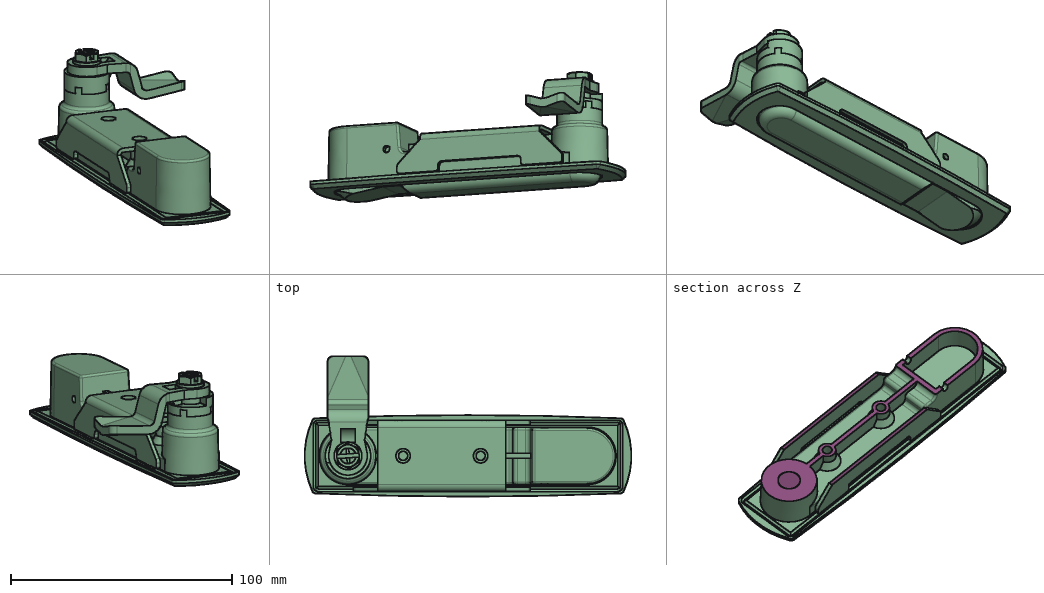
import cadquery as cq
import math


PLATE_LENGTH = 147.7
PLATE_WIDTH = 37.0
PLATE_THICKNESS = 3.2
PLATE_CORNER_X = 69.9
PLATE_CORNER_Y = 17.0
PLATE_CORNER_RADIUS = 1.9
PLATE_CHAMFER = 1.8
GROOVE_LENGTH = 140.0
GROOVE_WIDTH = 32.4
GROOVE_DEPTH = 0.9
GROOVE_FLANK = 1.2
GROOVE_CORNER_RADIUS = 2.7

AXIS_X = -54.2
BOWL_ARC_X = 53.9
PAN_RADIUS = 13.0
PAN_DRAFT = 1.0
TUB_TOP = 6.4
LEDGE_TOP = 11.5
LEDGE_X = 20.2
LEDGE_FILLET = 1.9
BOWL_FOOT_X = 27.9
BOWL_HEAD_X = 29.1
BOWL_TOP = 25.3
BOWL_FOOT_FILLET = 2.4
PAN_EDGE_FILLET = 1.0
BOWL_WALL = 1.8
PIN_HOLE_DIAMETER = 3.1
PIN_HOLE_X = 34.5
PIN_HOLE_Z = 13.1

RECESS_WIDTH = 20.5
RECESS_TOP = 4.1

RIB_THICKNESS = 2.4
RIB_TOP = 16.8
BOSS_DIAMETER = 8.0
BOSS_HOLE_DIAMETER = 4.1
BOSS_FOOT_DIAMETER = 12.3
BOSS_FOOT_HEIGHT = 3.5

BARREL_BASE_RADIUS = 13.0
BARREL_RADIUS = 12.5
BARREL_STRAIGHT_TOP = 17.7
NECK_DIAMETER = 20.5
NECK_FOOT_Z = 20.8
NECK_TOP = 26.7
TAB_WIDTH = 3.0
TAB_TOP = 29.7
TAB_DEPTH = 2.0
TAB_BAR_ANGLES = (45, 135)

SHAFT_DIAMETER = 9.7
CAM_BOTTOM = 34.7
CAM_THICKNESS = 4.3
WINDOW_FLOOR = 31.0
WINDOW_MAX_X = 3.4
WINDOW_MIN_Y = -3.1
WASHER_DIAMETER = 12.5
WASHER_THICKNESS = 1.3
SCREW_DIAMETER = 6.0
SCREW_TIP = 23.6
HEX_FLATS = 10.0
HEX_HEIGHT = 3.5
HEX_TOP_DIAMETER = 10.0
HEX_BEVEL_ANGLE = 30
HEX_TURN = 4
SLOT_WIDTH = 1.8
SLOT_DEPTH = 2.4
CROSS_WIDTH = 1.2
CROSS_LENGTH = 6.5
CROSS_DEPTH = 1.8
DISH_DIAMETER = 7.1
DISH_DEPTH = 0.5

CAM_TOP = CAM_BOTTOM + CAM_THICKNESS
WASHER_TOP = CAM_TOP + WASHER_THICKNESS
SCREW_TOP = WASHER_TOP + HEX_HEIGHT

CAM_EYE_DIAMETER = 17.5
CAM_EYE_END_Y = 1.2
CAM_WAIST_HALF = 7.5
CAM_WAIST_Y = 7.0
CAM_NECK_HALF = 8.7
CAM_NECK_Y = 15.4
CAM_BLADE_WIDTH = 18.6
CAM_BLADE_Y = 17.5
CAM_TIP_Y = 45.0
CAM_TIP_RADIUS = 2.7
CAM_CREASE_Y = 26.5
CAM_CREASE_TIP_HALF = 1.2
CAM_CORNER_RISE = 2.4
BLADE_BOTTOM = 21.1
BLADE_THICKNESS = 4.0
CAM_UPPER_BEND_Y = 20.0
CAM_LEG_SLOPE = 0.27
CAM_UPPER_BEND_RADIUS = 1.6
CAM_LOWER_BEND_RADIUS = 2.5
STOP_WIDTH = 6.5
STOP_INNER_Y = 6.0
STOP_TOP_Y = 11.4
STOP_FOOT_Y = 9.6
STOP_BOTTOM = 31.2
DIMPLE_OUTER_Y = 12.3
DIMPLE_FLOOR = 35.2
DIMPLE_RADIUS = 6.2

BRACKET_X = -11.8
BRACKET_TOP_LENGTH = 57.9
BRACKET_LEG_LENGTH = 80.0
BRACKET_WIDTH = 32.0
BRACKET_TOP = 19.0
BRACKET_THICKNESS = 1.9
BRACKET_BEND_RADIUS = 3.1
BRACKET_LEG_BOTTOM = 0.9
BRACKET_LEG_SLOPE_Z = 4.9
BRACKET_NOTCH_LENGTH = 40.3
BRACKET_NOTCH_TOP = 5.3
BRACKET_NOTCH_RADIUS = 2.0
BRACKET_CORNER_RADIUS = 1.0
BRACKET_KNEE_RADIUS = 2.7
BRACKET_HOLE_DIAMETER = 6.5
BRACKET_HOLE_SPACING = 35.0

HANDLE_WIDTH = 20.2
HANDLE_ARC_X = -53.3
HANDLE_RIGHT_X = 29.0
HANDLE_BOTTOM = -6.6
HANDLE_EDGE_FILLET = 3.7
HANDLE_BEVEL = 3.4
TRIGGER_FLAT_Z = -3.5
TRIGGER_SLOPE_X = 37.5
TRIGGER_TIP_X = 58.6
TRIGGER_TIP_Z = -6.8
TRIGGER_END_X = 63.1
TRIGGER_END_RADIUS = 13.3

BRACKET_UNDERSIDE = BRACKET_TOP - BRACKET_THICKNESS
BRACKET_HOLES = [(BRACKET_X + side * BRACKET_HOLE_SPACING / 2, 0) for side in (-1, 1)]


def cylinder(diameter, bottom, top, x=AXIS_X, y=0):
    return cq.Workplane(origin=(x, y, bottom)).circle(diameter / 2).extrude(top - bottom)


def block(x_range, y_range, z_range):
    size = [high - low for low, high in (x_range, y_range, z_range)]
    corner = (x_range[0], y_range[0], z_range[0])
    return cq.Workplane(origin=corner).box(*size, centered=False)


def stadium(left, right, radius, z):
    """Outline with round ends centred at X = left and X = right."""
    return (
        cq.Workplane(origin=((left + right) / 2, 0, z))
        .slot2D(right - left + 2 * radius, 2 * radius)
    )


def round_right_end(left, right, radius, z):
    """Outline that is square at X = left and ends in an arc centred at X = right."""
    return (
        cq.Workplane(origin=(0, 0, z))
        .moveTo(left, -radius)
        .lineTo(right, -radius)
        .threePointArc((right + radius, 0), (right, radius))
        .lineTo(left, radius)
        .close()
    )



def cover_plate():
    end_x = PLATE_LENGTH / 2
    side_y = PLATE_WIDTH / 2
    cx, cy = PLATE_CORNER_X, PLATE_CORNER_Y
    plate = (
        cq.Workplane(origin=(0, 0, -PLATE_THICKNESS))
        .moveTo(-cx, -cy)
        .threePointArc((0, -side_y), (cx, -cy))
        .threePointArc((end_x, 0), (cx, cy))
        .threePointArc((0, side_y), (-cx, cy))
        .threePointArc((-end_x, 0), (-cx, -cy))
        .close()
        .extrude(PLATE_THICKNESS)
        .edges("|Z").fillet(PLATE_CORNER_RADIUS)
        .faces("<Z").chamfer(PLATE_CHAMFER)
    )
    return plate.cut(sealing_groove())


def sealing_groove():
    """V-shaped ring: a tapered block of which a tapered island is left standing."""
    flank = GROOVE_FLANK
    flank_angle = math.degrees(math.atan2(flank, GROOVE_DEPTH))
    floor = (GROOVE_LENGTH - 2 * flank, GROOVE_WIDTH - 2 * flank)
    island_top = (floor[0] - 2 * flank, floor[1] - 2 * flank)
    floor_outline = cq.Sketch().rect(*floor).vertices().fillet(GROOVE_CORNER_RADIUS - flank)
    outer = (
        cq.Workplane(origin=(0, 0, -GROOVE_DEPTH))
        .placeSketch(floor_outline)
        .extrude(GROOVE_DEPTH, taper=-flank_angle)
    )
    island = (
        cq.Workplane()
        .rect(*island_top)
        .workplane(offset=-GROOVE_DEPTH)
        .rect(*floor)
        .loft(ruled=True)
    )
    return outer.cut(island)


def pan():
    right = BOWL_ARC_X + PAN_RADIUS
    side_profile = (
        cq.Workplane("XZ", origin=(0, PAN_RADIUS, 0))
        .polyline([
            (AXIS_X, 0), (AXIS_X, TUB_TOP), (LEDGE_X, TUB_TOP), (LEDGE_X, LEDGE_TOP),
            (BOWL_FOOT_X, LEDGE_TOP), (BOWL_HEAD_X, BOWL_TOP), (right, BOWL_TOP), (right, 0),
        ])
        .close()
        .extrude(2 * PAN_RADIUS)
    )
    for x, z, radius in (
        (LEDGE_X, TUB_TOP, LEDGE_FILLET),
        (LEDGE_X, LEDGE_TOP, LEDGE_FILLET),
        (BOWL_FOOT_X, LEDGE_TOP, BOWL_FOOT_FILLET),
    ):
        side_profile = side_profile.edges(cq.NearestToPointSelector((x, 0, z))).fillet(radius)
    footprint = (
        round_right_end(AXIS_X - PAN_RADIUS, BOWL_ARC_X, PAN_RADIUS, 0)
        .extrude(BOWL_TOP, taper=PAN_DRAFT)
    )
    body = side_profile.intersect(footprint)

    def is_rim(edge):
        """True for the edges that run along the top of the side walls and around the bowl top."""
        centre = edge.Center()
        on_bowl_top = centre.z > BOWL_TOP - PAN_EDGE_FILLET
        on_side_wall = abs(centre.y) > PAN_RADIUS / 2 and centre.x < BOWL_HEAD_X and centre.z >= TUB_TOP
        return on_bowl_top or on_side_wall

    return body.edges().filter(is_rim).fillet(PAN_EDGE_FILLET)


def barrel():
    """Drafted barrel with an S-shaped shoulder up to the neck."""
    neck_radius = NECK_DIAMETER / 2
    shoulder_middle = ((BARREL_RADIUS + neck_radius) / 2, (BARREL_STRAIGHT_TOP + NECK_FOOT_Z) / 2)
    return (
        cq.Workplane("XZ", origin=(AXIS_X, 0, 0))
        .lineTo(BARREL_BASE_RADIUS, 0)
        .lineTo(BARREL_RADIUS, BARREL_STRAIGHT_TOP)
        .tangentArcPoint(shoulder_middle, relative=False)
        .tangentArcPoint((neck_radius, NECK_FOOT_Z), relative=False)
        .lineTo(neck_radius, NECK_TOP)
        .lineTo(0, NECK_TOP)
        .close()
        .revolve(360, (0, 0), (0, 1))
    )


def neck_tabs():
    """Upright tabs on the rim of the neck, between the X and Y directions."""
    ring = cylinder(NECK_DIAMETER, NECK_TOP, TAB_TOP)
    ring = ring.cut(cylinder(NECK_DIAMETER - 2 * TAB_DEPTH, NECK_TOP, TAB_TOP))
    cross = cq.Workplane()
    for angle in TAB_BAR_ANGLES:
        bar = (
            cq.Workplane()
            .transformed(offset=(AXIS_X, 0, NECK_TOP), rotate=(0, 0, angle))
            .rect(NECK_DIAMETER, TAB_WIDTH)
            .extrude(TAB_TOP - NECK_TOP)
        )
        cross = cross.union(bar)
    return ring.intersect(cross)


def rib_and_bosses():
    half = RIB_THICKNESS / 2
    foot_taper = math.degrees(math.atan2((BOSS_FOOT_DIAMETER - BOSS_DIAMETER) / 2, BOSS_FOOT_HEIGHT))
    rib = block((AXIS_X, BOWL_HEAD_X), (-half, half), (TUB_TOP, RIB_TOP))
    for x, y in BRACKET_HOLES:
        boss = cylinder(BOSS_DIAMETER, TUB_TOP, BRACKET_UNDERSIDE, x, y)
        foot = (
            cq.Workplane(origin=(x, y, TUB_TOP))
            .circle(BOSS_FOOT_DIAMETER / 2)
            .extrude(BOSS_FOOT_HEIGHT, taper=foot_taper)
        )
        rib = rib.union(boss).union(foot)
    return rib


def handle_recess():
    radius = RECESS_WIDTH / 2
    opening = stadium(AXIS_X, BOWL_ARC_X, radius, -PLATE_THICKNESS).extrude(PLATE_THICKNESS + RECESS_TOP)
    bowl_left = BOWL_HEAD_X + BOWL_WALL
    bowl = round_right_end(bowl_left, BOWL_ARC_X, radius, 0).extrude(BOWL_TOP - BOWL_WALL)
    return opening.union(bowl)


def make_housing():
    housing = cover_plate().union(pan()).union(barrel()).union(rib_and_bosses())
    housing = housing.union(neck_tabs())
    housing = housing.cut(handle_recess())
    housing = housing.cut(cylinder(SHAFT_DIAMETER, 0, NECK_TOP))
    for x, y in BRACKET_HOLES:
        housing = housing.cut(cylinder(BOSS_HOLE_DIAMETER, TUB_TOP, BRACKET_UNDERSIDE, x, y))
    pin_hole = (
        cq.Workplane("XZ", origin=(PIN_HOLE_X, 0, PIN_HOLE_Z))
        .circle(PIN_HOLE_DIAMETER / 2)
        .extrude(PAN_RADIUS, both=True)
    )
    return housing.cut(pin_hole)



def make_bracket():
    half_width = BRACKET_WIDTH / 2
    height = BRACKET_TOP - BRACKET_LEG_BOTTOM
    origin = (BRACKET_X, 0, BRACKET_LEG_BOTTOM)
    channel = (
        cq.Workplane(origin=origin)
        .box(BRACKET_LEG_LENGTH, BRACKET_WIDTH, height, centered=(True, True, False))
        .edges("|X and >Z").fillet(BRACKET_BEND_RADIUS)
    )
    inside = (
        cq.Workplane(origin=origin)
        .box(
            BRACKET_LEG_LENGTH, BRACKET_WIDTH - 2 * BRACKET_THICKNESS, height - BRACKET_THICKNESS,
            centered=(True, True, False),
        )
        .edges("|X and >Z").fillet(BRACKET_BEND_RADIUS - BRACKET_THICKNESS)
    )
    half_leg = BRACKET_LEG_LENGTH / 2
    half_top = BRACKET_TOP_LENGTH / 2
    bend_z = BRACKET_TOP - BRACKET_BEND_RADIUS
    side_view = cq.Workplane("XZ", origin=(BRACKET_X, half_width, 0))
    silhouette = (
        side_view
        .polyline([
            (-half_leg, BRACKET_LEG_BOTTOM), (-half_leg, BRACKET_LEG_SLOPE_Z), (-half_top, bend_z),
            (-half_top, BRACKET_TOP), (half_top, BRACKET_TOP), (half_top, bend_z),
            (half_leg, BRACKET_LEG_SLOPE_Z), (half_leg, BRACKET_LEG_BOTTOM),
        ])
        .close()
        .extrude(BRACKET_WIDTH)
    )
    half_notch = BRACKET_NOTCH_LENGTH / 2
    notch = block(
        (BRACKET_X - half_notch, BRACKET_X + half_notch),
        (-half_width, half_width),
        (BRACKET_LEG_BOTTOM, BRACKET_NOTCH_TOP),
    ).edges("|Y and >Z").fillet(BRACKET_NOTCH_RADIUS)
    silhouette = silhouette.cut(notch).edges("|Y and <Z").fillet(BRACKET_CORNER_RADIUS)
    for x in (BRACKET_X - half_leg, BRACKET_X + half_leg):
        knee = cq.NearestToPointSelector((x, 0, BRACKET_LEG_SLOPE_Z))
        silhouette = silhouette.edges("|Y").edges(knee).fillet(BRACKET_KNEE_RADIUS)
    bracket = channel.cut(inside).intersect(silhouette)
    for x, y in BRACKET_HOLES:
        bracket = bracket.cut(cylinder(BRACKET_HOLE_DIAMETER, BRACKET_UNDERSIDE, BRACKET_TOP, x, y))
    return bracket



def make_handle():
    """Grip with a rounded underside edge, bevelled where it meets the trigger."""
    radius = HANDLE_WIDTH / 2
    height = RECESS_TOP - HANDLE_BOTTOM
    grip = (
        stadium(HANDLE_ARC_X, BOWL_ARC_X, radius, HANDLE_BOTTOM)
        .extrude(height)
        .faces("<Z").edges().fillet(HANDLE_EDGE_FILLET)
    )
    span = (
        block((HANDLE_ARC_X - radius, HANDLE_RIGHT_X), (-radius, radius), (HANDLE_BOTTOM, RECESS_TOP))
        .edges("<Z and >X").chamfer(HANDLE_BEVEL)
    )
    return grip.intersect(span)


def make_trigger():
    """Release plate whose finger pad slopes down to a tip under the bowl."""
    radius = HANDLE_WIDTH / 2
    base = (
        round_right_end(HANDLE_RIGHT_X, BOWL_ARC_X, radius, TRIGGER_FLAT_Z)
        .extrude(RECESS_TOP - TRIGGER_FLAT_Z)
    )
    pad_depth = TRIGGER_FLAT_Z - TRIGGER_TIP_Z
    end_slope = math.degrees(math.atan2(TRIGGER_END_X - TRIGGER_TIP_X, pad_depth))
    conical_end = (
        round_right_end(0, TRIGGER_END_X - TRIGGER_END_RADIUS, TRIGGER_END_RADIUS, TRIGGER_FLAT_Z)
        .extrude(-pad_depth, taper=end_slope)
    )
    pad = (
        round_right_end(TRIGGER_SLOPE_X, BOWL_ARC_X, radius, TRIGGER_FLAT_Z)
        .extrude(-pad_depth)
        .intersect(conical_end)
    )
    wedge = (
        cq.Workplane("XZ", origin=(0, radius, 0))
        .polyline([
            (TRIGGER_SLOPE_X, TRIGGER_FLAT_Z),
            (TRIGGER_TIP_X, TRIGGER_TIP_Z),
            (TRIGGER_END_X, TRIGGER_FLAT_Z),
        ])
        .close()
        .extrude(HANDLE_WIDTH)
    )
    return base.union(pad.intersect(wedge))



def make_shaft():
    shaft = cylinder(SHAFT_DIAMETER, RECESS_TOP, CAM_BOTTOM)
    return shaft.cut(cylinder(SCREW_DIAMETER, SCREW_TIP, CAM_BOTTOM))


def make_collar():
    collar = cylinder(NECK_DIAMETER, NECK_TOP, CAM_BOTTOM)
    collar = collar.cut(cylinder(SHAFT_DIAMETER, NECK_TOP, CAM_BOTTOM)).cut(neck_tabs())
    window = block(
        (AXIS_X - NECK_DIAMETER, AXIS_X + WINDOW_MAX_X),
        (WINDOW_MIN_Y, NECK_DIAMETER),
        (WINDOW_FLOOR, CAM_BOTTOM),
    )
    return collar.cut(window)


def cam_outline():
    eye_radius = CAM_EYE_DIAMETER / 2
    eye_half = math.sqrt(eye_radius**2 - CAM_EYE_END_Y**2)
    half = CAM_BLADE_WIDTH / 2
    return (
        cq.Workplane(origin=(AXIS_X, 0, 0))
        .moveTo(-eye_half, CAM_EYE_END_Y)
        .threePointArc((0, -eye_radius), (eye_half, CAM_EYE_END_Y))
        .lineTo(CAM_WAIST_HALF, CAM_WAIST_Y)
        .lineTo(CAM_NECK_HALF, CAM_NECK_Y)
        .lineTo(half, CAM_BLADE_Y)
        .lineTo(half, CAM_TIP_Y)
        .lineTo(-half, CAM_TIP_Y)
        .lineTo(-half, CAM_BLADE_Y)
        .lineTo(-CAM_NECK_HALF, CAM_NECK_Y)
        .lineTo(-CAM_WAIST_HALF, CAM_WAIST_Y)
        .close()
        .extrude(CAM_TOP)
        .edges("|Z and >Y").fillet(CAM_TIP_RADIUS)
    )


def cam_strip():
    """Cranked strip: flat at the eye, steep leg, flat blade with both tip corners turned up."""
    half = CAM_BLADE_WIDTH / 2
    blade_top = BLADE_BOTTOM + BLADE_THICKNESS
    leg_width = BLADE_THICKNESS * math.hypot(1, CAM_LEG_SLOPE)

    def leg_y(z):
        return CAM_UPPER_BEND_Y + CAM_LEG_SLOPE * (CAM_TOP - z)

    upper_inner = (leg_y(CAM_BOTTOM) - leg_width, CAM_BOTTOM)
    lower_outer = (leg_y(BLADE_BOTTOM) - leg_width, BLADE_BOTTOM)
    lower_inner = (leg_y(blade_top), blade_top)
    upper_outer = (CAM_UPPER_BEND_Y, CAM_TOP)
    strip = (
        cq.Workplane("YZ", origin=(AXIS_X - half, 0, 0))
        .polyline([
            (-half, CAM_BOTTOM), upper_inner, lower_outer, (CAM_TIP_Y, BLADE_BOTTOM),
            (CAM_TIP_Y, blade_top), lower_inner, upper_outer, (-half, CAM_TOP),
        ])
        .close()
        .extrude(CAM_BLADE_WIDTH)
    )
    for (y, z), radius in (
        (upper_inner, CAM_UPPER_BEND_RADIUS),
        (upper_outer, CAM_UPPER_BEND_RADIUS + CAM_THICKNESS),
        (lower_inner, CAM_LOWER_BEND_RADIUS),
        (lower_outer, CAM_LOWER_BEND_RADIUS + BLADE_THICKNESS),
    ):
        strip = strip.edges(cq.NearestToPointSelector((AXIS_X, y, z))).fillet(radius)
    for side in (-1, 1):
        strip = strip.cut(blade_corner(side, 0))
        strip = strip.union(blade_corner(side, CAM_CORNER_RISE))
    return strip


def blade_corner(side, rise):
    """Triangular corner of the blade, hinged on its crease and lifted by rise at the tip."""
    outer_x = AXIS_X + side * CAM_BLADE_WIDTH / 2
    crease_x = AXIS_X + side * CAM_CREASE_TIP_HALF
    triangle = cq.Wire.makePolygon(
        [
            cq.Vector(outer_x, CAM_CREASE_Y, BLADE_BOTTOM),
            cq.Vector(crease_x, CAM_TIP_Y, BLADE_BOTTOM),
            cq.Vector(outer_x, CAM_TIP_Y, BLADE_BOTTOM + rise),
        ],
        close=True,
    )
    return cq.Workplane(cq.Solid.extrudeLinear(triangle, [], cq.Vector(0, 0, BLADE_THICKNESS)))


def cam_stop():
    """Stop lug pressed down into the collar window."""
    return (
        cq.Workplane("YZ", origin=(AXIS_X - STOP_WIDTH / 2, 0, 0))
        .polyline([
            (STOP_INNER_Y, CAM_BOTTOM), (STOP_INNER_Y, STOP_BOTTOM),
            (STOP_FOOT_Y, STOP_BOTTOM), (STOP_TOP_Y, CAM_BOTTOM),
        ])
        .close()
        .extrude(STOP_WIDTH)
    )


def cam_dimple():
    """Hollow left in the top face above the stop lug, with a rounded outer wall."""
    return (
        cq.Workplane("YZ", origin=(AXIS_X - STOP_WIDTH / 2, 0, 0))
        .moveTo(STOP_INNER_Y, CAM_TOP)
        .lineTo(STOP_INNER_Y, DIMPLE_FLOOR)
        .radiusArc((DIMPLE_OUTER_Y, CAM_TOP), -DIMPLE_RADIUS)
        .close()
        .extrude(STOP_WIDTH)
    )


def make_cam():
    cam = cam_strip().intersect(cam_outline())
    cam = cam.union(cam_stop()).cut(cam_dimple())
    return cam.cut(cylinder(SCREW_DIAMETER, CAM_BOTTOM, CAM_TOP))


def make_washer():
    return cylinder(WASHER_DIAMETER, CAM_TOP, WASHER_TOP).cut(cylinder(SCREW_DIAMETER, CAM_TOP, WASHER_TOP))


def make_screw():
    """Hexagon-head screw with a straight slot and a shorter cross slot."""
    corner_diameter = HEX_FLATS / math.cos(math.pi / 6)
    axis = cq.Workplane().transformed(offset=(AXIS_X, 0, WASHER_TOP), rotate=(0, 0, HEX_TURN))
    head = axis.transformed(rotate=(0, 0, 90)).polygon(6, corner_diameter).extrude(HEX_HEIGHT)
    bevel_width = (corner_diameter - HEX_TOP_DIAMETER) / 2
    bevel_height = bevel_width * math.tan(math.radians(HEX_BEVEL_ANGLE))
    bevel = (
        cylinder(corner_diameter, WASHER_TOP, SCREW_TOP)
        .faces(">Z")
        .chamfer(bevel_height, bevel_width)
    )
    top = axis.workplane(offset=HEX_HEIGHT)
    slot = top.rect(corner_diameter, SLOT_WIDTH).extrude(-SLOT_DEPTH)
    cross = top.rect(CROSS_WIDTH, CROSS_LENGTH).extrude(-CROSS_DEPTH)
    dish = top.circle(DISH_DIAMETER / 2).extrude(-DISH_DEPTH)
    head = head.intersect(bevel).cut(slot).cut(cross).cut(dish)
    return head.union(cylinder(SCREW_DIAMETER, SCREW_TIP, WASHER_TOP))


housing = make_housing()
bracket = make_bracket()
handle = make_handle()
trigger = make_trigger()
shaft = make_shaft()
collar = make_collar()
cam = make_cam()
washer = make_washer()
screw = make_screw()

bodies = [housing, bracket, handle, trigger, shaft, collar, cam, washer, screw]
result = cq.Compound.makeCompound([body.solids().val() for body in bodies])